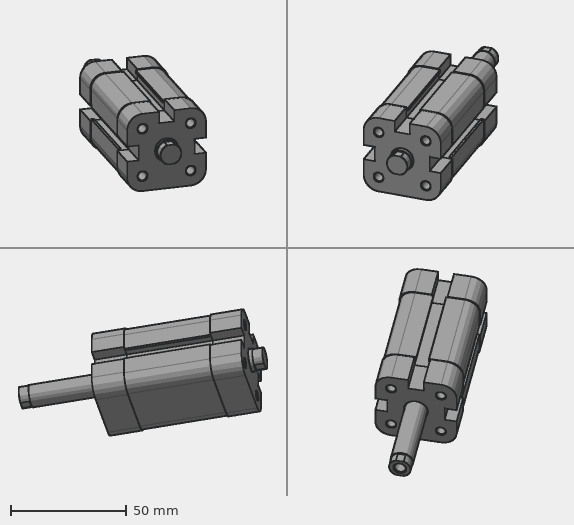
import cadquery as cq
import math


total_length = 109.0
front_head_start = 36.0
front_head_length = 14.4
tube_length = 38.5
rear_head_length = 14.1
tube_start = front_head_start + front_head_length
rear_head_start = tube_start + tube_length

head_size = 36.0
head_corner_radius = 7.0
tube_inset = 0.4
tube_size = head_size - 2 * tube_inset
tube_corner_radius = head_corner_radius - tube_inset

slot_width = 7.0
slot_depth = 5.2
slot_floor = head_size / 2 - slot_depth
lip_gap = 5.6
lip_bottom_depth = 1.6
lip_bottom = head_size / 2 - lip_bottom_depth
slot_angles = (-90, 0, 90)

screw_spacing = 22.0
screw_hole_diameter = 4.0
screw_hole_chamfer = 0.3
radius_tolerance = 0.01

rod_diameter = 10.0
rod_bore_chamfer = 0.3
rod_end_diameter = 9.6
rod_end_length = 4.5
flat_length = 4.1
rod_end_flats = 8.9
rod_rear_chamfer = 0.1
thread_diameter = 5.0
thread_depth = 10.9
thread_chamfer = 0.4
drill_point_angle = 120.0
drill_point_depth = thread_diameter / 2 / math.tan(math.radians(drill_point_angle / 2))


def section_at(x):
    """Workplane at x facing +X, with local x along +Y and local y along +Z."""
    return cq.Workplane("YZ", origin=(x, 0, 0))


def rounded_block(start, length, size, corner_radius):
    """Square bar with rounded long edges."""
    return section_at(start).rect(size, size).extrude(length).edges("|X").fillet(corner_radius)


def slot_cut(start, length, width, bottom, top):
    """Three straight channels, in the top and both flanks, between two heights from the axis."""
    channel = section_at(start).center(0, (bottom + top) / 2).rect(width, top - bottom).extrude(length)
    cut = cq.Workplane()
    for angle in slot_angles:
        cut = cut.add(channel.rotate((0, 0, 0), (1, 0, 0), angle))
    return cut.combine()


def hole_cut(start, length):
    """Four screw holes and the central rod bore."""
    screws = section_at(start).rect(screw_spacing, screw_spacing, forConstruction=True).vertices()
    screw_holes = screws.circle(screw_hole_diameter / 2).extrude(length)
    return screw_holes.union(section_at(start).circle(rod_diameter / 2).extrude(length))


def make_head(start, length, outer_face):
    """End head, with its screw holes and rod bore chamfered on the outer face."""
    head = rounded_block(start, length, head_size, head_corner_radius)
    head = head.cut(slot_cut(start, length, slot_width, slot_floor, head_size / 2))
    head = head.cut(hole_cut(start, length))
    for diameter, chamfer in ((screw_hole_diameter, screw_hole_chamfer), (rod_diameter, rod_bore_chamfer)):
        circles = head.faces(outer_face).edges("%CIRCLE")
        rims = circles.filter(lambda edge: abs(edge.radius() - diameter / 2) < radius_tolerance)
        head = head.newObject(rims.vals()).chamfer(chamfer)
    return head


def make_tube():
    """Profile tube whose slots are narrowed at the mouth by lips."""
    tube = rounded_block(tube_start, tube_length, tube_size, tube_corner_radius)
    tube = tube.cut(slot_cut(tube_start, tube_length, slot_width, slot_floor, lip_bottom))
    tube = tube.cut(slot_cut(tube_start, tube_length, lip_gap, lip_bottom, tube_size / 2))
    return tube.cut(hole_cut(tube_start, tube_length))


def make_rod():
    """Turned rod with a reduced end on each side, wrench flats and a threaded front bore."""
    rod_radius = rod_diameter / 2
    end_radius = rod_end_diameter / 2
    rear_end_start = total_length - rod_end_length
    rod = (
        cq.Workplane("XZ")
        .moveTo(0, 0)
        .lineTo(0, -end_radius)
        .lineTo(rod_end_length, -end_radius)
        .lineTo(rod_end_length, -rod_radius)
        .lineTo(rear_end_start, -rod_radius)
        .lineTo(rear_end_start, -end_radius)
        .lineTo(total_length - rod_rear_chamfer, -end_radius)
        .lineTo(total_length, rod_rear_chamfer - end_radius)
        .lineTo(total_length, 0)
        .close()
        .revolve(360, (0, 0, 0), (1, 0, 0))
    )
    return rod.cut(flats_cut(0)).cut(flats_cut(total_length - flat_length)).cut(thread_cut())


def flats_cut(start):
    """Material above and below the two wrench flats of one rod end."""
    blank = section_at(start).rect(rod_diameter, rod_diameter).extrude(flat_length)
    return blank.cut(section_at(start).rect(rod_diameter, rod_end_flats).extrude(flat_length))


def thread_cut():
    """Blind bore with a chamfered mouth and a conical drill point."""
    bore_radius = thread_diameter / 2
    return (
        cq.Workplane("XY")
        .moveTo(0, 0)
        .lineTo(0, bore_radius + thread_chamfer)
        .lineTo(thread_chamfer, bore_radius)
        .lineTo(thread_depth, bore_radius)
        .lineTo(thread_depth + drill_point_depth, 0)
        .close()
        .revolve(360, (0, 0, 0), (1, 0, 0))
    )


front_head = make_head(front_head_start, front_head_length, "<X")
tube = make_tube()
rear_head = make_head(rear_head_start, rear_head_length, ">X")
rod = make_rod()

bodies = [front_head, tube, rear_head, rod]
result = cq.Compound.makeCompound([body.solids().val() for body in bodies])